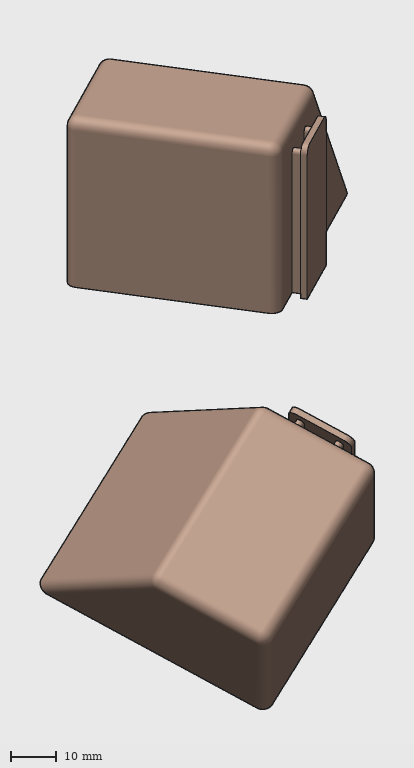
import cadquery as cq

body_width = 49.0
body_depth = 58.75
body_height = 42.05
top_depth = body_depth / 2
edge_radius = 2.5

plate_center_y = 16.35
plate_width = 16.0
plate_height = 38.2
plate_thickness = 1.5
plate_corner_radius = 2.0
rail_gap = 2.45
rail_width = 2.0
rail_spacing = 10.0
rail_height = 35.95


def make_body():
    """Wedge-backed block, rounded on every edge except around the base."""
    block = (
        cq.Workplane("YZ")
        .polyline([(0, 0), (body_depth, 0), (top_depth, body_height), (0, body_height)])
        .close()
        .extrude(body_width)
    )
    return block.edges("not(<Z)").fillet(edge_radius)


def make_upright(start_x, thickness, center_y, width, height, corner_radius):
    """Upright slab standing on the base plane, with both top corners rounded."""
    half_width = width / 2
    shoulder = height - corner_radius
    half_flat = half_width - corner_radius
    profile = (
        cq.Workplane("YZ", origin=(start_x, center_y, 0))
        .moveTo(half_width, 0)
        .lineTo(half_width, shoulder)
        .radiusArc((half_flat, height), -corner_radius)
    )
    if half_flat > 0:
        profile = profile.lineTo(-half_flat, height)
    return (
        profile.radiusArc((-half_width, shoulder), -corner_radius)
        .lineTo(-half_width, 0)
        .close()
        .extrude(thickness)
    )


result = make_body()

rail_embed = edge_radius
for side in (-1, 1):
    rail = make_upright(
        body_width - rail_embed,
        rail_embed + rail_gap,
        plate_center_y + side * rail_spacing / 2,
        rail_width,
        rail_height,
        rail_width / 2,
    )
    result = result.union(rail)

plate = make_upright(
    body_width + rail_gap,
    plate_thickness,
    plate_center_y,
    plate_width,
    plate_height,
    plate_corner_radius,
)
result = result.union(plate)